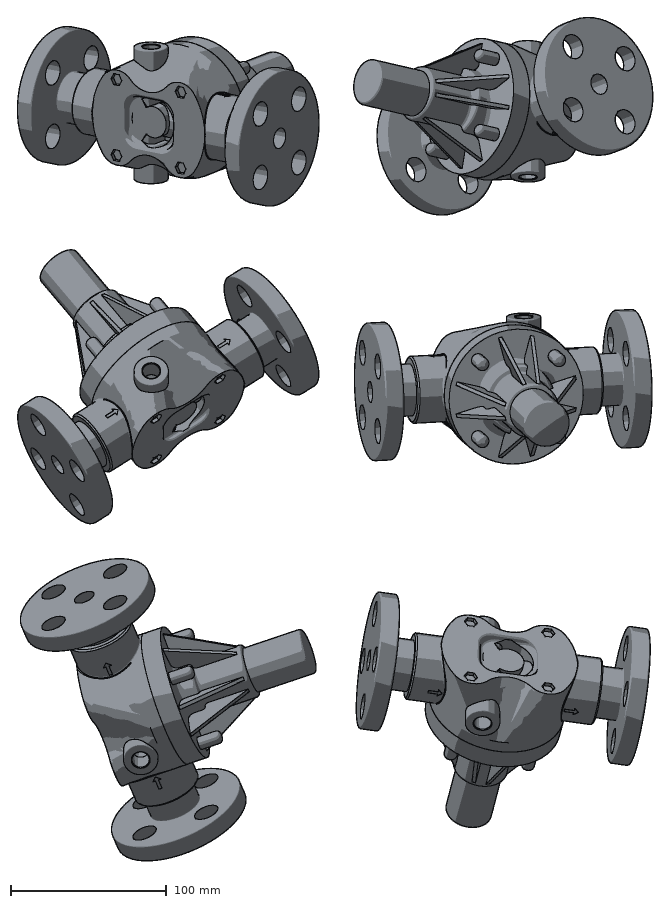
import cadquery as cq
import math


EDGE_MARGIN = 0.2

HALF_LENGTH = 88.0
FLANGE_DIAMETER = 88.9
FLANGE_THICKNESS = 12.0
FLANGE_EDGE_ROUND = 1.0
FLANGE_HOLE_DIAMETER = 16.0
FLANGE_HOLE_CIRCLE = 60.0
FLANGE_HOLE_COUNT = 4
NECK_DIAMETER = 33.6
NECK_ROOT_ROUND = 0.7
COUPLING_DIAMETER = 43.3
COUPLING_END = 61.3
COUPLING_EDGE_CHAMFER = 1.0
BORE_DIAMETER = 13.4
BORE_DEPTH = 61.6

ARROW_HEIGHT = 0.2
ARROW_START = 49.1
ARROW_LENGTH = 9.2
ARROW_HEAD_LENGTH = 2.8
ARROW_HEAD_WIDTH = 5.6
ARROW_SHAFT_WIDTH = 2.1

BODY_RADIUS = FLANGE_DIAMETER / 2
BASE_Y = -21.8
BODY_BLEND_ROUND = 1.0
LOFT_TOP_Y = 14.0
JOINT_Y = 22.5
LOBE_RADIUS = 14.0
LOBE_CENTER_X = 24.6
SCALLOP_DEPTH_Z = 21.1
LOFT_SCALLOP_X = 2.1
LOFT_LOBE_X = 13.7

BOLT_SPACING = 50.7
BOLT_DIAMETER = 8.5
BOLT_TOP_Y = 51.2
BOLT_END_ROUND = 3.0
HEX_ACROSS_CORNERS = 8.5
HEX_DEPTH = 2.6

RECESS_WIDTH = 42.6
RECESS_HEIGHT = 38.0
RECESS_CORNER = 12.3
RECESS_LIP = 2.6
RECESS_ROUND = 2.5
RECESS_DEPTH = 5.1

SLOT_OUTER_RADIUS = 16.5
SLOT_INNER_RADIUS = 10.4
SLOT_END_ANGLE = 122.0
SLOT_FLOOR_Y = 0.0
RAMP_END_X = -2.6
RAMP_RADIUS = 7.0
STUB_DIAMETER = 26.5

PORT_X = -13.5
PORT_DIAMETER = 22.2
PORT_HOLE_DIAMETER = 11.1
PORT_HOLE_CHAMFER = 0.5
PORT_HOLE_DEPTH = 14.0
PORT_EDGE_ROUND = 0.7
DRILL_POINT_ANGLE = 90.0

COVER_RADIUS = 44.4
COVER_TOP_Y = 35.7
BOSS_RADIUS = 22.9
BOSS_TOP_Y = 48.0
BOSS_EDGE_ROUND = 2.3
BOSS_ROOT_ROUND = 4.8
BARREL_DIAMETER = 35.5
BARREL_ROOT_ROUND = 2.5
BARREL_TOP_Y = 81.1
BARREL_EDGE_ROUND = 2.5
CAP_DIAMETER = 30.0
CAP_TOP_Y = 121.0
CAP_EDGE_ROUND = 2.1
DOME_HEIGHT = 0.8

RIB_THICKNESS = 2.5
RIB_FOOT_RADIUS = 40.8
RIB_TIP_Y = 77.8
RIB_ANGLE = 15.0


def y_cylinder(radius, y_start, y_end):
    """Cylinder along Y between two Y positions."""
    return cq.Workplane(cq.Solid.makeCylinder(
        radius, y_end - y_start, cq.Vector(0, y_start, 0), cq.Vector(0, 1, 0)))


def base_plane(y):
    """Workplane facing -Y whose local axes are X and Z."""
    return cq.Workplane("XZ", origin=(0, y, 0))


def coupling():
    """Thick sleeve on the -X side, reaching to the body axis."""
    return (
        cq.Workplane("YZ", origin=(-COUPLING_END, 0, 0))
        .circle(COUPLING_DIAMETER / 2)
        .extrude(COUPLING_END)
        .faces("<X")
        .chamfer(COUPLING_EDGE_CHAMFER)
    )


def pipe_end():
    """Flange, neck and coupling on the -X side, reaching to the body axis."""
    flange_back = -HALF_LENGTH + FLANGE_THICKNESS
    flange = (
        cq.Workplane("YZ", origin=(-HALF_LENGTH, 0, 0))
        .circle(FLANGE_DIAMETER / 2)
        .extrude(FLANGE_THICKNESS)
        .edges()
        .fillet(FLANGE_EDGE_ROUND)
    )
    neck = (
        cq.Workplane("YZ", origin=(flange_back, 0, 0))
        .circle(NECK_DIAMETER / 2)
        .extrude(-flange_back - COUPLING_END)
    )
    neck_root = cq.selectors.BoxSelector(
        (flange_back - EDGE_MARGIN, -NECK_DIAMETER, -NECK_DIAMETER),
        (flange_back + EDGE_MARGIN, NECK_DIAMETER, NECK_DIAMETER),
        boundingbox=True,
    )
    flanged_neck = flange.union(neck).edges(neck_root).fillet(NECK_ROOT_ROUND)
    bolt_holes = (
        cq.Workplane("YZ", origin=(-HALF_LENGTH, 0, 0))
        .polarArray(FLANGE_HOLE_CIRCLE / 2, 180 / FLANGE_HOLE_COUNT, 360, FLANGE_HOLE_COUNT)
        .circle(FLANGE_HOLE_DIAMETER / 2)
        .extrude(FLANGE_THICKNESS)
    )
    return flanged_neck.cut(bolt_holes).union(coupling())


def bore():
    """Blind bore entering the -X flange."""
    return (
        cq.Workplane("YZ", origin=(-HALF_LENGTH, 0, 0))
        .circle(BORE_DIAMETER / 2)
        .extrude(BORE_DEPTH)
    )


def flow_arrow(x_start):
    """Raised arrow pointing to +X, on the top and bottom of a coupling."""
    shoulder = x_start + ARROW_LENGTH - ARROW_HEAD_LENGTH
    outline = (
        cq.Workplane("XY", origin=(0, 0, -COUPLING_DIAMETER))
        .moveTo(x_start, -ARROW_SHAFT_WIDTH / 2)
        .lineTo(shoulder, -ARROW_SHAFT_WIDTH / 2)
        .lineTo(shoulder, -ARROW_HEAD_WIDTH / 2)
        .lineTo(x_start + ARROW_LENGTH, 0)
        .lineTo(shoulder, ARROW_HEAD_WIDTH / 2)
        .lineTo(shoulder, ARROW_SHAFT_WIDTH / 2)
        .lineTo(x_start, ARROW_SHAFT_WIDTH / 2)
        .close()
        .extrude(2 * COUPLING_DIAMETER)
    )
    sleeve = (
        cq.Workplane("YZ", origin=(x_start, 0, 0))
        .circle(COUPLING_DIAMETER / 2 + ARROW_HEIGHT)
        .circle(COUPLING_DIAMETER / 2 - ARROW_HEIGHT)
        .extrude(ARROW_LENGTH)
    )
    return outline.intersect(sleeve)


def eight_arc_wire(plane, lobe_end, lobe_middle, scallop_end, scallop_z):
    """Closed outline of two side arcs, four lobes and two end arcs, given by its first quadrant."""
    def mirrored(point, x_sign, z_sign):
        return (point[0] * x_sign, point[1] * z_sign)

    return (
        plane.moveTo(*mirrored(lobe_end, 1, -1))
        .threePointArc((BODY_RADIUS, 0), lobe_end)
        .threePointArc(lobe_middle, scallop_end)
        .threePointArc((0, scallop_z), mirrored(scallop_end, -1, 1))
        .threePointArc(mirrored(lobe_middle, -1, 1), mirrored(lobe_end, -1, 1))
        .threePointArc((-BODY_RADIUS, 0), mirrored(lobe_end, -1, -1))
        .threePointArc(mirrored(lobe_middle, -1, -1), mirrored(scallop_end, -1, -1))
        .threePointArc((0, -scallop_z), mirrored(scallop_end, 1, -1))
        .threePointArc(mirrored(lobe_middle, 1, -1), mirrored(lobe_end, 1, -1))
        .wire()
        .val()
    )


def base_outline():
    """Base outline: a circle with tangent corner lobes and a scallop at each Z side."""
    lobe_offset = BODY_RADIUS - LOBE_RADIUS
    lobe_z = math.sqrt(lobe_offset**2 - LOBE_CENTER_X**2)
    rise = SCALLOP_DEPTH_Z - lobe_z
    scallop_radius = (LOBE_CENTER_X**2 + rise**2 - LOBE_RADIUS**2) / (2 * (LOBE_RADIUS - rise))
    start_angle = math.atan2(lobe_z, LOBE_CENTER_X)
    end_angle = math.atan2(rise + scallop_radius, -LOBE_CENTER_X)

    def on_lobe(angle):
        return (
            LOBE_CENTER_X + LOBE_RADIUS * math.cos(angle),
            lobe_z + LOBE_RADIUS * math.sin(angle),
        )

    return eight_arc_wire(
        base_plane(BASE_Y),
        on_lobe(start_angle),
        on_lobe((start_angle + end_angle) / 2),
        on_lobe(end_angle),
        SCALLOP_DEPTH_Z,
    )


def round_outline():
    """Circle split into the same eight arcs as the base outline."""
    def on_circle(x):
        return (x, math.sqrt(BODY_RADIUS**2 - x**2))

    return eight_arc_wire(
        base_plane(LOFT_TOP_Y),
        on_circle(LOFT_LOBE_X),
        on_circle((LOFT_LOBE_X + LOFT_SCALLOP_X) / 2),
        on_circle(LOFT_SCALLOP_X),
        BODY_RADIUS,
    )


def body():
    """Body blending from the lobed base to a round rim under the bonnet."""
    blend = cq.Workplane(cq.Solid.makeLoft([base_outline(), round_outline()], True))
    return blend.union(y_cylinder(BODY_RADIUS, LOFT_TOP_Y, JOINT_Y))


def coupling_blend():
    """Small concave blend where the -X coupling meets the round side of the body."""
    core = y_cylinder(BODY_RADIUS, -BODY_RADIUS, BODY_RADIUS)
    meeting_edge = cq.selectors.BoxSelector(
        (-BODY_RADIUS - EDGE_MARGIN, -BODY_RADIUS / 2, -BODY_RADIUS / 2),
        (0, BODY_RADIUS / 2, BODY_RADIUS / 2),
    )
    blended = core.union(coupling()).edges(meeting_edge).fillet(BODY_BLEND_ROUND)
    body_height = y_cylinder(COUPLING_END, BASE_Y, JOINT_Y)
    return blended.cut(core).intersect(body_height)


def side_ports():
    """Stub across the body along Z, carrying a port at each end."""
    return (
        cq.Workplane("XY", origin=(PORT_X, 0, -BODY_RADIUS))
        .circle(PORT_DIAMETER / 2)
        .extrude(2 * BODY_RADIUS)
        .edges()
        .fillet(PORT_EDGE_ROUND)
    )


def port_hole():
    """Blind drilled hole of the +Z port."""
    radius = PORT_HOLE_DIAMETER / 2
    point_length = radius / math.tan(math.radians(DRILL_POINT_ANGLE / 2))
    return (
        cq.Workplane("XZ", origin=(PORT_X, 0, BODY_RADIUS))
        .polyline([
            (0, 0),
            (radius + PORT_HOLE_CHAMFER, 0),
            (radius, -PORT_HOLE_CHAMFER),
            (radius, -PORT_HOLE_DEPTH),
            (0, -PORT_HOLE_DEPTH - point_length),
        ])
        .close()
        .revolve(360, (0, 0), (0, 1))
    )


def recess():
    """Rounded rectangular recess cut into the base, with a rounded floor edge."""
    return (
        base_plane(BASE_Y)
        .rect(RECESS_WIDTH - 2 * RECESS_LIP, RECESS_HEIGHT - 2 * RECESS_LIP)
        .extrude(-RECESS_DEPTH)
        .edges("|Y")
        .fillet(RECESS_CORNER - RECESS_LIP)
        .faces(">Y")
        .edges()
        .fillet(RECESS_ROUND)
    )


def round_recess_lip(part):
    """Round over the recess edge where it opens into the base."""
    around_recess = cq.selectors.BoxSelector(
        (-RECESS_WIDTH / 2, BASE_Y - RECESS_ROUND, -RECESS_HEIGHT / 2),
        (RECESS_WIDTH / 2, BASE_Y + RECESS_ROUND, RECESS_HEIGHT / 2),
    )
    return part.faces("<Y").edges(around_recess).fillet(RECESS_ROUND)


def island_slot():
    """C-shaped slot around a round island, with a curved ramp at its ends and a pipe stub inside."""
    floor_y = BASE_Y + RECESS_DEPTH
    end_angle = math.radians(SLOT_END_ANGLE)
    reach = 2 * SLOT_OUTER_RADIUS
    end_x = reach * math.cos(end_angle)
    end_z = reach * math.sin(end_angle)
    sector = (
        base_plane(floor_y)
        .polyline([(0, 0), (end_x, -end_z), (reach, -end_z), (reach, end_z), (end_x, end_z)])
        .close()
        .extrude(-(SLOT_FLOOR_Y - floor_y))
    )
    ring = y_cylinder(SLOT_OUTER_RADIUS, floor_y, SLOT_FLOOR_Y).cut(
        y_cylinder(SLOT_INNER_RADIUS, floor_y, SLOT_FLOOR_Y))
    clearance = y_cylinder(SLOT_OUTER_RADIUS, floor_y - RECESS_ROUND, floor_y)
    ramp_start = RAMP_END_X - RAMP_RADIUS
    ramp = (
        cq.Workplane("XY", origin=(0, 0, -SLOT_OUTER_RADIUS))
        .moveTo(-reach, floor_y)
        .lineTo(ramp_start, floor_y)
        .radiusArc((RAMP_END_X, floor_y + RAMP_RADIUS), -RAMP_RADIUS)
        .lineTo(RAMP_END_X, SLOT_FLOOR_Y)
        .lineTo(-reach, SLOT_FLOOR_Y)
        .close()
        .extrude(2 * SLOT_OUTER_RADIUS)
    )
    stub = cq.Workplane("YZ").circle(STUB_DIAMETER / 2).extrude(reach)
    return ring.intersect(sector).cut(ramp).cut(stub).union(clearance)


def at_bolts(plane):
    """Centers of the square bolt pattern on a plane across Y."""
    return plane.rect(BOLT_SPACING, BOLT_SPACING, forConstruction=True).vertices()


def hex_pockets():
    """Hexagonal pockets in the base."""
    return at_bolts(base_plane(BASE_Y)).polygon(6, HEX_ACROSS_CORNERS).extrude(-HEX_DEPTH)


def cover_bolts():
    """Round-ended bolts standing on the cover."""
    return (
        at_bolts(base_plane(JOINT_Y))
        .circle(BOLT_DIAMETER / 2)
        .extrude(-(BOLT_TOP_Y - JOINT_Y))
        .faces(">Y")
        .edges()
        .fillet(BOLT_END_ROUND)
    )


def round_root(part, y, radius, fillet_radius):
    """Fillet the root circle of a given radius about Y."""
    around_root = cq.selectors.BoxSelector(
        (-radius - EDGE_MARGIN, y - EDGE_MARGIN, -radius - EDGE_MARGIN),
        (radius + EDGE_MARGIN, y + EDGE_MARGIN, radius + EDGE_MARGIN),
        boundingbox=True,
    )
    return part.edges(around_root).fillet(fillet_radius)


def cover():
    """Round bonnet: cover disc, boss, barrel and domed cap."""
    disc = y_cylinder(COVER_RADIUS, JOINT_Y, COVER_TOP_Y)
    boss = y_cylinder(BOSS_RADIUS, JOINT_Y, BOSS_TOP_Y).faces(">Y").edges().fillet(BOSS_EDGE_ROUND)
    barrel = (
        y_cylinder(BARREL_DIAMETER / 2, JOINT_Y, BARREL_TOP_Y)
        .faces(">Y")
        .edges()
        .fillet(BARREL_EDGE_ROUND)
    )
    cap = (
        y_cylinder(CAP_DIAMETER / 2, JOINT_Y, CAP_TOP_Y)
        .faces(">Y")
        .edges()
        .fillet(CAP_EDGE_ROUND)
    )
    dome_radius = CAP_DIAMETER / 2 - CAP_EDGE_ROUND
    sphere_radius = (dome_radius**2 + DOME_HEIGHT**2) / (2 * DOME_HEIGHT)
    dome = (
        cq.Workplane("XY")
        .moveTo(0, JOINT_Y)
        .lineTo(dome_radius, JOINT_Y)
        .lineTo(dome_radius, CAP_TOP_Y)
        .radiusArc((0, CAP_TOP_Y + DOME_HEIGHT), -sphere_radius)
        .close()
        .revolve(360, (0, 0), (0, 1))
    )
    stack = disc.union(boss).union(barrel)
    stack = round_root(stack, COVER_TOP_Y, BOSS_RADIUS, BOSS_ROOT_ROUND)
    stack = round_root(stack, BOSS_TOP_Y, BARREL_DIAMETER / 2, BARREL_ROOT_ROUND)
    return stack.union(cap).union(dome)


def rib():
    """Triangular rib in the plane through the bonnet axis and +X."""
    return (
        cq.Workplane("XY", origin=(0, 0, -RIB_THICKNESS / 2))
        .polyline([
            (0, JOINT_Y),
            (RIB_FOOT_RADIUS, JOINT_Y),
            (RIB_FOOT_RADIUS, COVER_TOP_Y),
            (BARREL_DIAMETER / 2, RIB_TIP_Y),
            (0, RIB_TIP_Y),
        ])
        .close()
        .extrude(RIB_THICKNESS)
    )


flanged_end = pipe_end()
blend_ring = coupling_blend()
end_bore = bore()
drilled_hole = port_hole()
single_rib = rib()

result = body().union(side_ports())
result = result.union(flanged_end).union(flanged_end.mirror("YZ"))
result = result.union(blend_ring).union(blend_ring.mirror("YZ"))

result = round_recess_lip(result.cut(recess()))
result = result.cut(island_slot()).cut(hex_pockets())
result = result.cut(drilled_hole).cut(drilled_hole.mirror("XY"))
result = result.cut(end_bore).cut(end_bore.mirror("YZ"))
for arrow_x in (-ARROW_START, ARROW_START - ARROW_LENGTH):
    result = result.union(flow_arrow(arrow_x))

result = result.union(cover()).union(cover_bolts())
for side in range(4):
    for tilt in (-RIB_ANGLE, RIB_ANGLE):
        result = result.union(single_rib.rotate((0, 0, 0), (0, 1, 0), 90 * side + tilt))